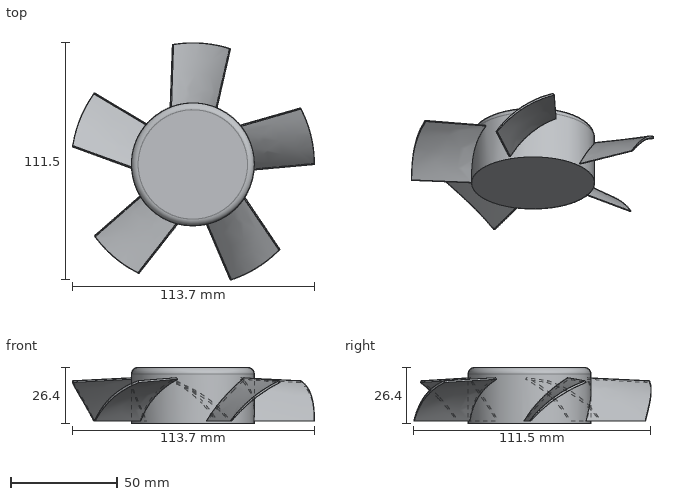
import cadquery as cq
import math

HUB_DIAMETER = 57.78
HUB_HEIGHT = 26.42
RIM_RADIUS = 3.175

BLADE_COUNT = 5
TIP_RADIUS = 57.15
BLADE_THICKNESS = 1.0
TRAILING_END_WIDTH = 0.6
BLADE_BOTTOM = 1.2

ROOT_STATION = 24.0
ROOT_TRAILING_X = 10.8
ROOT_LEADING_X = -10.1
ROOT_LEADING_Z = 21.7
ROOT_CAMBER = 1.9

TIP_STATION = 58.0
TIP_TRAILING_X = 18.55
TIP_LEADING_X = -9.0
TIP_LEADING_Z = 20.05
TIP_CAMBER = 2.4


def make_hub():
    drum = cq.Workplane("XY").circle(HUB_DIAMETER / 2).extrude(HUB_HEIGHT)
    return drum.faces(">Z").edges().fillet(RIM_RADIUS)


def blade_section(station, trailing_x, leading_x, leading_z, camber):
    """Closed cambered blade section in the plane Y = station."""
    run = trailing_x - leading_x
    rise = leading_z - BLADE_BOTTOM
    chord = math.hypot(run, rise)
    normal_x = rise / chord
    normal_z = run / chord

    def point(x, z, offset):
        return cq.Vector(x + offset * normal_x, station, z + offset * normal_z)

    middle_x = (trailing_x + leading_x) / 2
    middle_z = (BLADE_BOTTOM + leading_z) / 2
    upper_trailing = point(trailing_x, BLADE_BOTTOM, 0)
    upper_middle = point(middle_x, middle_z, camber)
    upper_leading = point(leading_x, leading_z, 0)
    lower_leading = point(leading_x, leading_z, -BLADE_THICKNESS)
    lower_middle = point(middle_x, middle_z, camber - BLADE_THICKNESS)
    lower_trailing = cq.Vector(trailing_x - TRAILING_END_WIDTH, station, BLADE_BOTTOM)

    return cq.Wire.assembleEdges([
        cq.Edge.makeThreePointArc(upper_trailing, upper_middle, upper_leading),
        cq.Edge.makeLine(upper_leading, lower_leading),
        cq.Edge.makeThreePointArc(lower_leading, lower_middle, lower_trailing),
        cq.Edge.makeLine(lower_trailing, upper_trailing),
    ])


def make_blade():
    root = blade_section(ROOT_STATION, ROOT_TRAILING_X, ROOT_LEADING_X, ROOT_LEADING_Z, ROOT_CAMBER)
    tip = blade_section(TIP_STATION, TIP_TRAILING_X, TIP_LEADING_X, TIP_LEADING_Z, TIP_CAMBER)
    loft = cq.Workplane(cq.Solid.makeLoft([root, tip], True))
    envelope = cq.Workplane("XY").circle(TIP_RADIUS).extrude(HUB_HEIGHT)
    return loft.intersect(envelope)


result = make_hub()
blade = make_blade()
for index in range(BLADE_COUNT):
    angle = index * 360 / BLADE_COUNT
    result = result.union(blade.rotate((0, 0, 0), (0, 0, 1), angle))